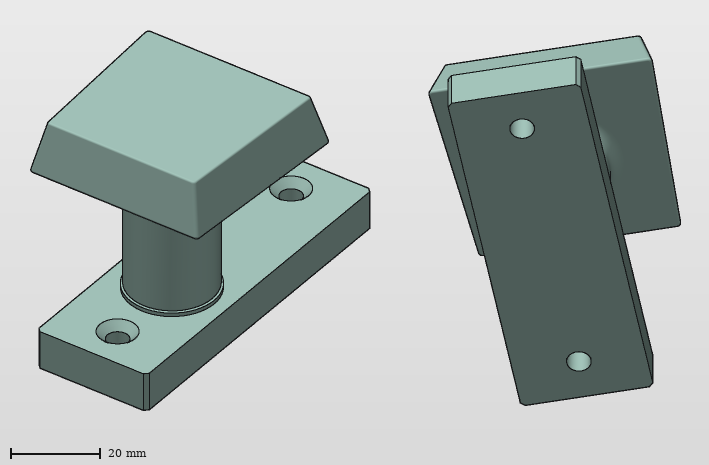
import cadquery as cq
import math

PLATE_LENGTH = 87.0
PLATE_WIDTH = 30.0
PLATE_THICKNESS = 10.0
PLATE_CORNER_CHAMFER = 1.0

SCREW_HOLE_DIAMETER = 5.5
COUNTERSINK_DIAMETER = 9.6
COUNTERSINK_ANGLE = 90.0
SCREW_HOLE_END_DISTANCE = 10.0

COLLAR_DIAMETER = 23.0
COLLAR_HEIGHT = 1.0

STEM_Y = -12.5
STEM_DIAMETER = 22.0
STEM_FOOT_FILLET = 0.5
STEM_NECK_FILLET = 3.05
OVERALL_HEIGHT = 58.0
GRIP_HEIGHT = 13.0
GRIP_BACK_Y = 12.8
GRIP_DEPTH = 48.1
GRIP_BACK_WIDTH = 51.0
GRIP_SIDE_ANGLE = 3.0
GRIP_DRAFT_ANGLE = 13.0
GRIP_CORNER_FILLET = 1.0
GRIP_RIM_FILLET = 0.5

stem_bottom_z = PLATE_THICKNESS + COLLAR_HEIGHT
grip_bottom_z = OVERALL_HEIGHT - GRIP_HEIGHT


def make_plate():
    """Flat bar with chamfered upright corners and two countersunk holes."""
    bar = (
        cq.Workplane("XY")
        .box(PLATE_WIDTH, PLATE_LENGTH, PLATE_THICKNESS, centered=(True, True, False))
        .edges("|Z")
        .chamfer(PLATE_CORNER_CHAMFER)
    )
    hole_y = PLATE_LENGTH / 2 - SCREW_HOLE_END_DISTANCE
    return (
        bar.faces(">Z")
        .workplane(origin=(0, 0, PLATE_THICKNESS))
        .pushPoints([(0, -hole_y), (0, hole_y)])
        .cskHole(SCREW_HOLE_DIAMETER, COUNTERSINK_DIAMETER, COUNTERSINK_ANGLE)
    )


def make_collar():
    """Thin round disc resting on the plate under the stem."""
    return (
        cq.Workplane("XY", origin=(0, STEM_Y, PLATE_THICKNESS))
        .circle(COLLAR_DIAMETER / 2)
        .extrude(COLLAR_HEIGHT)
    )


def make_grip():
    """Block that narrows toward the front and drafts inward toward the top."""
    front_y = GRIP_BACK_Y - GRIP_DEPTH
    back_x = GRIP_BACK_WIDTH / 2
    front_x = back_x - GRIP_DEPTH * math.tan(math.radians(GRIP_SIDE_ANGLE))
    outline = [
        (-front_x, front_y),
        (front_x, front_y),
        (back_x, GRIP_BACK_Y),
        (-back_x, GRIP_BACK_Y),
    ]
    block = (
        cq.Workplane("XY", origin=(0, 0, grip_bottom_z))
        .polyline(outline)
        .close()
        .extrude(GRIP_HEIGHT, taper=GRIP_DRAFT_ANGLE)
    )
    rounded = block.edges("not (#Z)").fillet(GRIP_CORNER_FILLET)
    return rounded.faces("<Z or >Z").edges().fillet(GRIP_RIM_FILLET)


def make_stem():
    """Revolved stem with a rounded foot and a flared neck that meets the grip."""
    radius = STEM_DIAMETER / 2
    foot = STEM_FOOT_FILLET
    neck = STEM_NECK_FILLET
    diagonal = 1 - math.sqrt(0.5)
    profile = (
        cq.Workplane("XZ", origin=(0, STEM_Y, 0))
        .moveTo(0, stem_bottom_z)
        .lineTo(radius - foot, stem_bottom_z)
        .threePointArc(
            (radius - foot * diagonal, stem_bottom_z + foot * diagonal),
            (radius, stem_bottom_z + foot),
        )
        .lineTo(radius, grip_bottom_z - neck)
        .threePointArc(
            (radius + neck * diagonal, grip_bottom_z - neck * diagonal),
            (radius + neck, grip_bottom_z),
        )
        .lineTo(0, grip_bottom_z)
        .close()
    )
    return profile.revolve(360, (0, 0, 0), (0, 1, 0))


plate = make_plate()
collar = make_collar()
knob = make_grip().union(make_stem())

result = cq.Compound.makeCompound([plate.val(), collar.val(), knob.val()])